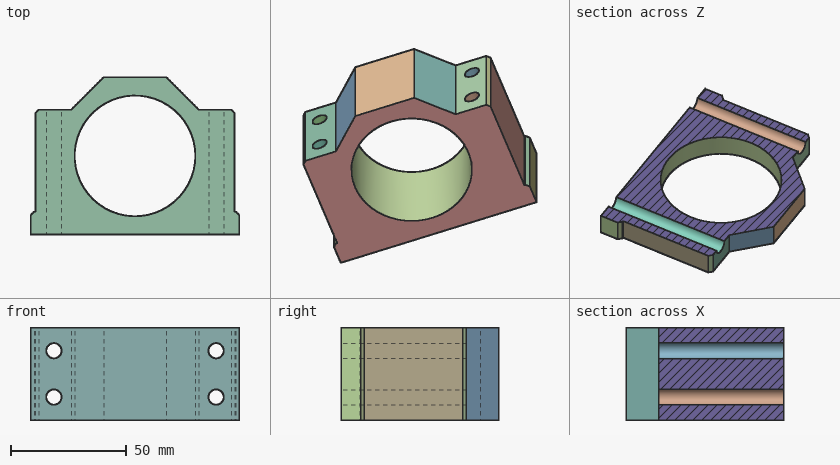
import cadquery as cq

height = 40.0
base_width = 90.0
depth = 68.0

flange_depth = 10.0
edge_chamfer = 1.5

body_width = 86.0
shoulder_depth = 54.0
crown_top_width = 27.0
crown_rise = depth - shoulder_depth
crown_foot_width = crown_top_width + 2 * crown_rise

bore_diameter = 52.0
bore_y = depth / 2

hole_diameter = 6.5
hole_spacing_x = 70.0
hole_spacing_z = 20.0


def make_block():
    """Extrude the symmetric outline, mirrored from its +X half."""
    half_base = base_width / 2
    half_body = body_width / 2
    half_outline = [
        (0, 0),
        (half_base, 0),
        (half_base, flange_depth - edge_chamfer),
        (half_base - edge_chamfer, flange_depth),
        (half_body, flange_depth),
        (half_body, shoulder_depth - edge_chamfer),
        (half_body - edge_chamfer, shoulder_depth),
        (crown_foot_width / 2, shoulder_depth),
        (crown_top_width / 2, depth),
        (0, depth),
    ]
    return cq.Workplane("XY").polyline(half_outline).mirrorY().extrude(height)


def make_bore():
    """Cylinder for the main bore along Z."""
    return cq.Workplane("XY").center(0, bore_y).circle(bore_diameter / 2).extrude(height)


def make_mounting_holes():
    """Four cylinders along +Y, centred on the front face."""
    return (
        cq.Workplane("XZ", origin=(0, 0, height / 2))
        .rarray(hole_spacing_x, hole_spacing_z, 2, 2)
        .circle(hole_diameter / 2)
        .extrude(-depth)
    )


result = make_block().cut(make_bore()).cut(make_mounting_holes())